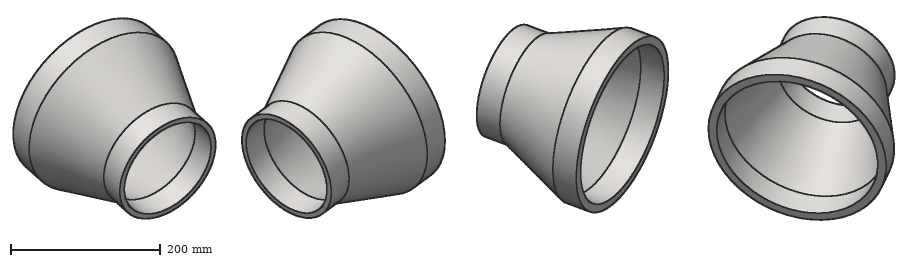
import cadquery as cq

length = 179.0
collar_length = 36.0
large_outer_diameter = 250.0
large_bore_diameter = 226.2
small_outer_diameter = 160.0
small_bore_diameter = 144.5

cone_start = collar_length
cone_end = length - collar_length


def reducer_body(large_diameter, small_diameter):
    """Solid of revolution: large cylinder, cone, small cylinder."""
    large_radius = large_diameter / 2
    small_radius = small_diameter / 2
    half_profile = [
        (0, 0),
        (0, large_radius),
        (cone_start, large_radius),
        (cone_end, small_radius),
        (length, small_radius),
        (length, 0),
    ]
    return (
        cq.Workplane("XY")
        .polyline(half_profile)
        .close()
        .revolve(360, (0, 0, 0), (1, 0, 0))
    )


outer_body = reducer_body(large_outer_diameter, small_outer_diameter)
bore = reducer_body(large_bore_diameter, small_bore_diameter)

result = outer_body.cut(bore)